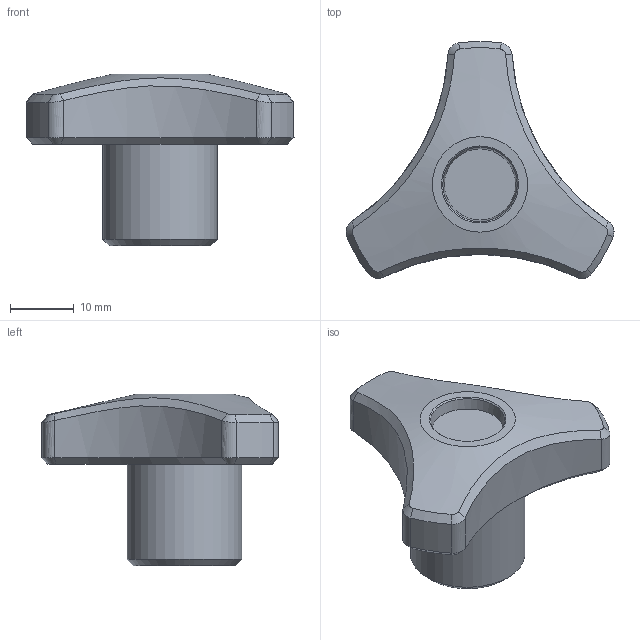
import cadquery as cq
import math

TOTAL_HEIGHT = 27.0
HUB_HEIGHT = 16.0
HUB_DIAMETER = 18.0

ARM_COUNT = 3
TIP_RADIUS = 22.5
WAIST_RADIUS = 11.0
HOLLOW_RADIUS = 34.0
CORNER_RADIUS = 2.0
EDGE_CHAMFER = 1.0
FLAT_DIAMETER = 15.0
CROWN_SLOPE = 13.0

RECESS_MOUTH_DIAMETER = 12.1
MOUTH_CHAMFER = 0.2
RECESS_FLOOR_DIAMETER = 11.2
RECESS_DEPTH = 2.0

HEAD_HEIGHT = TOTAL_HEIGHT - HUB_HEIGHT


def star_prism():
    """Disc with a circular hollow between neighbouring arms and rounded arm corners."""
    disc = cq.Workplane("XY").workplane(offset=HUB_HEIGHT).circle(TIP_RADIUS).extrude(HEAD_HEIGHT)
    hollows = (
        cq.Workplane("XY")
        .workplane(offset=HUB_HEIGHT)
        .polarArray(WAIST_RADIUS + HOLLOW_RADIUS, -90, 360, ARM_COUNT)
        .circle(HOLLOW_RADIUS)
        .extrude(HEAD_HEIGHT, combine=False)
    )
    for hollow in hollows.solids().vals():
        disc = disc.cut(cq.Workplane(hollow))
    return disc


def crown_envelope():
    """Flat-topped cone that bounds the head from above."""
    flat_radius = FLAT_DIAMETER / 2
    rim_radius = TIP_RADIUS + EDGE_CHAMFER
    rim_height = TOTAL_HEIGHT - (rim_radius - flat_radius) * math.tan(math.radians(CROWN_SLOPE))
    return (
        cq.Workplane("XZ")
        .moveTo(0, HUB_HEIGHT)
        .lineTo(rim_radius, HUB_HEIGHT)
        .lineTo(rim_radius, rim_height)
        .lineTo(flat_radius, TOTAL_HEIGHT)
        .lineTo(0, TOTAL_HEIGHT)
        .close()
        .revolve(360, (0, 0, 0), (0, 1, 0))
    )


def head():
    """Rounded star trimmed by the crown, with its outer edges chamfered above and below."""
    prism = star_prism().edges("|Z").fillet(CORNER_RADIUS)
    body = prism.intersect(crown_envelope())
    body = body.faces("<Z").chamfer(EDGE_CHAMFER)
    crown = max(body.faces("%CONE").vals(), key=lambda face: face.Area())
    flat_edge = body.faces(">Z").edges().val()
    rim = [edge for edge in crown.Edges() if not edge.isSame(flat_edge)]
    return body.newObject(rim).chamfer(EDGE_CHAMFER)


def hub():
    """Round shank with a chamfered lower end, reaching up to the head."""
    shank = cq.Workplane("XY").circle(HUB_DIAMETER / 2).extrude(HUB_HEIGHT)
    return shank.faces("<Z").chamfer(EDGE_CHAMFER)


def recess():
    """Pocket with a chamfered mouth and a wall that narrows to the floor."""
    mouth_radius = RECESS_MOUTH_DIAMETER / 2
    return (
        cq.Workplane("XZ")
        .moveTo(0, TOTAL_HEIGHT)
        .lineTo(mouth_radius, TOTAL_HEIGHT)
        .lineTo(mouth_radius - MOUTH_CHAMFER, TOTAL_HEIGHT - MOUTH_CHAMFER)
        .lineTo(RECESS_FLOOR_DIAMETER / 2, TOTAL_HEIGHT - RECESS_DEPTH)
        .lineTo(0, TOTAL_HEIGHT - RECESS_DEPTH)
        .close()
        .revolve(360, (0, 0, 0), (0, 1, 0))
    )


result = head().union(hub()).cut(recess())